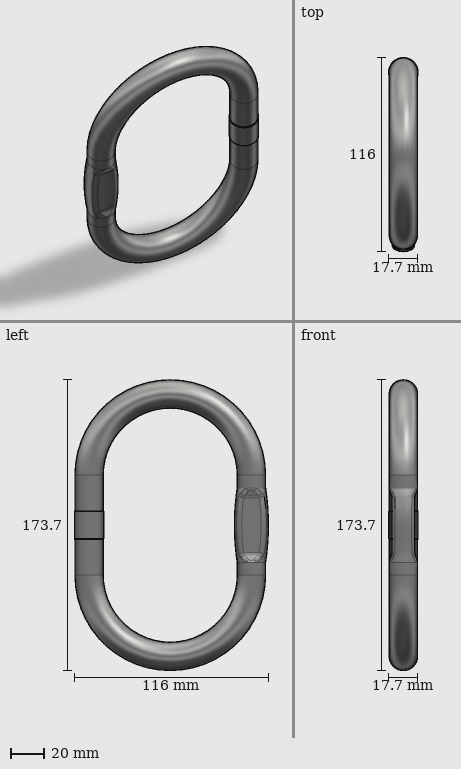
import cadquery as cq
import math

LENGTH_Z = 173.7
WIRE_DIA = 17.0
STRAIGHT = 59.8

SLEEVE_DIA = 17.7
SLEEVE_LENGTH = 17.2
SLEEVE_TAPER = 0.5

BULGE_DIA = 20.5
CLASP_LENGTH = 44.5
FLAT_THICKNESS = 13.5
FLAT_LENGTH = 33.7
RAMP_END_THICKNESS = 17.4
RAMP_FOOT_RADIUS = 3.1
FLAT_EDGE_RADIUS = 3.6
MIN_EDGE_TILT = 30.0

wire_radius = WIRE_DIA / 2
bend_radius = (LENGTH_Z - STRAIGHT) / 2 - wire_radius
bulge_radius = BULGE_DIA / 2
clasp_half = CLASP_LENGTH / 2
flat_half = FLAT_LENGTH / 2
flat_x = FLAT_THICKNESS / 2
ramp_end_x = RAMP_END_THICKNESS / 2


def leg(y):
    """Straight wire between the bends, centred on Z = 0."""
    return cq.Workplane("XY", origin=(0, y, -STRAIGHT / 2)).circle(wire_radius).extrude(STRAIGHT)


def bend():
    """Upper half-circle bend of the link."""
    return (
        cq.Workplane("XY", origin=(0, bend_radius, STRAIGHT / 2))
        .circle(wire_radius)
        .revolve(180, (0, -bend_radius, 0), (1, -bend_radius, 0))
    )


def sleeve():
    """Slightly thicker collar tapering down to the wire at both ends."""
    sleeve_half = SLEEVE_LENGTH / 2
    profile = [
        (0, -sleeve_half),
        (wire_radius, -sleeve_half),
        (SLEEVE_DIA / 2, -sleeve_half + SLEEVE_TAPER),
        (SLEEVE_DIA / 2, sleeve_half - SLEEVE_TAPER),
        (wire_radius, sleeve_half),
        (0, sleeve_half),
    ]
    collar = cq.Workplane("XZ").polyline(profile).close().revolve(360, (0, 0, 0), (0, 1, 0))
    return collar.translate((0, bend_radius, 0))


def barrel():
    """Round barrel that meets the wire diameter at both ends."""
    return (
        cq.Workplane("XZ")
        .moveTo(0, -clasp_half)
        .lineTo(wire_radius, -clasp_half)
        .threePointArc((bulge_radius, 0), (wire_radius, clasp_half))
        .lineTo(0, clasp_half)
        .close()
        .revolve(360, (0, 0, 0), (0, 1, 0))
    )


def flattening_profile():
    """Prism along Y: two flats, each with a ramp rising to the wire at both ends."""
    outline = [
        (flat_x, flat_half),
        (ramp_end_x, clasp_half),
        (-ramp_end_x, clasp_half),
        (-flat_x, flat_half),
        (-flat_x, -flat_half),
        (-ramp_end_x, -clasp_half),
        (ramp_end_x, -clasp_half),
        (flat_x, -flat_half),
    ]
    prism = cq.Workplane("XZ").polyline(outline).close().extrude(BULGE_DIA, both=True)
    foot_points = [(x, 0, z) for x in (-flat_x, flat_x) for z in (-flat_half, flat_half)]
    for point in foot_points:
        prism = prism.edges(cq.selectors.NearestToPointSelector(point)).fillet(RAMP_FOOT_RADIUS)
    return prism


def runs_along_z(edge):
    """True for an edge whose middle is steep enough to be a long clasp edge."""
    return abs(edge.tangentAt(0.5).z) > math.sin(math.radians(MIN_EDGE_TILT))


def clasp():
    """Flattened barrel whose long edges are rounded along the flats and ramps."""
    body = barrel().intersect(flattening_profile())
    long_edges = [edge for edge in body.edges().vals() if runs_along_z(edge)]
    return body.newObject(long_edges).fillet(FLAT_EDGE_RADIUS).translate((0, -bend_radius, 0))


def clasp_leg():
    """The -Y leg, interrupted by the clasp."""
    gap = cq.Workplane("XY", origin=(0, -bend_radius, 0)).box(BULGE_DIA, BULGE_DIA, CLASP_LENGTH)
    return leg(-bend_radius).cut(gap).union(clasp())


upper_bend = bend()
lower_bend = upper_bend.mirror("XY")
result = leg(bend_radius).union(sleeve()).union(clasp_leg()).union(upper_bend).union(lower_bend)